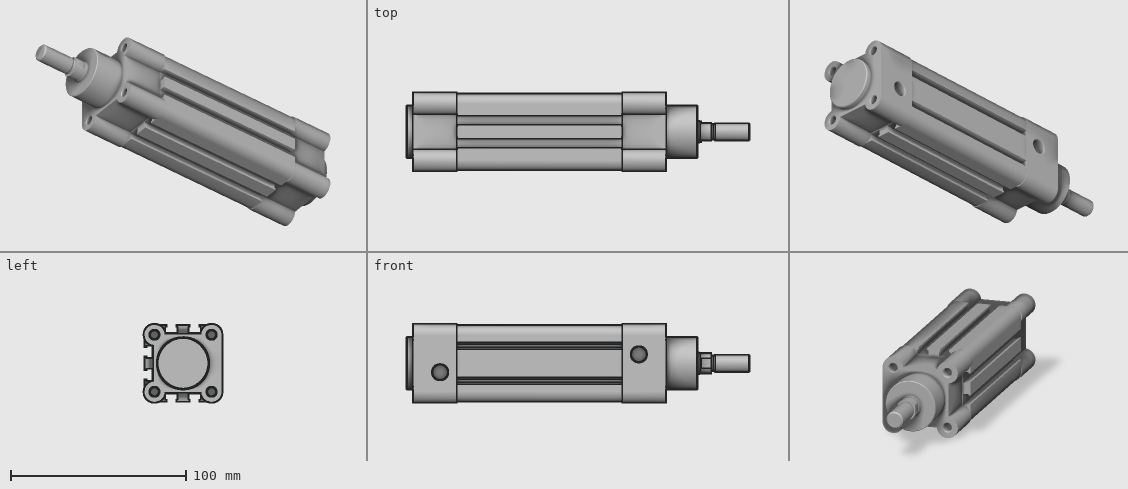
import cadquery as cq


total_length = 196.0
spigot_length = 4.0
cap_length = 25.0
barrel_length = 94.0
collar_length = 18.0
rear_cap_x = spigot_length
barrel_x = rear_cap_x + cap_length
front_cap_x = barrel_x + barrel_length
collar_x = front_cap_x + cap_length
collar_end_x = collar_x + collar_length

cap_width = 45.0
cap_half = cap_width / 2
bolt_offset = 16.3
bolt_pitch = 2 * bolt_offset
boss_radius = cap_half - bolt_offset
recess_floor = 16.9
collar_diameter = 30.0
spigot_chamfer = 0.5
collar_chamfer = 0.4
bolt_hole_diameter = 4.9
bolt_hole_mouth = 5.9
countersink_angle = 90
port_radius = 4.3
port_chamfer = 0.4
port_depth = 7.8
port_inset = 15.5
port_shift_z = 5.0

barrel_half = 22.0
slot_mouth_near = 4.0
slot_mouth_far = 9.2
slot_undercut = 0.8
slot_lip = 1.2
slot_floor = 17.5
groove_offset = 10.0
groove_mouth_width = 4.1
groove_floor_width = 1.8

rod_radius = 6.5
rod_tip_radius = 5.9
taper_length = 1.5
flat_half = 5.0
flat_start_x = 168.2
shoulder_x = 174.0
neck_radius = 4.7
neck_root_radius = 4.3
neck_root_inset = 1.0
neck_length = 2.2
thread_diameter = 10.0
thread_radius = thread_diameter / 2
thread_chamfer = 0.8


def cross_section(x):
    """Workplane across the axis at station x, with local axes along Y and Z."""
    return cq.Workplane("YZ", origin=(x, 0, 0))


def make_cap(x):
    """Cap with round corner bosses: flat on -Y, recessed between the bosses on the other sides."""
    core = cross_section(x).rect(bolt_pitch, 2 * recess_floor).extrude(cap_length)
    side_walls = cross_section(x).center((recess_floor - cap_half) / 2, 0)
    side_walls = side_walls.rect(recess_floor + cap_half, bolt_pitch).extrude(cap_length)
    bosses = (
        cross_section(x)
        .rect(bolt_pitch, bolt_pitch, forConstruction=True)
        .vertices()
        .circle(boss_radius)
        .extrude(cap_length)
    )
    return core.union(side_walls).union(bosses)


def drill_bolt_holes(cap, outer_face):
    """Four bolt holes through the cap, countersunk at its outer face."""
    return (
        cap.faces(outer_face)
        .workplane(origin=(0, 0, 0))
        .rect(bolt_pitch, bolt_pitch, forConstruction=True)
        .vertices()
        .cskHole(bolt_hole_diameter, bolt_hole_mouth, countersink_angle)
    )


def drill_port(cap, x, z):
    """Blind air port in the -Y side, with a chamfered mouth."""
    mouth_radius = port_radius + port_chamfer
    port_profile = [
        (0, 0),
        (mouth_radius, 0),
        (port_radius, port_chamfer),
        (port_radius, port_depth),
        (0, port_depth),
    ]
    port = (
        cq.Workplane("XY", origin=(x, -cap_half, z))
        .polyline(port_profile)
        .close()
        .revolve(360, (0, 0, 0), (0, 1, 0))
    )
    return cap.cut(port)


def make_rear_cap():
    cap = drill_bolt_holes(make_cap(rear_cap_x), "<X")
    cap = drill_port(cap, rear_cap_x + port_inset, -port_shift_z)
    spigot = cross_section(0).circle(collar_diameter / 2).extrude(spigot_length)
    spigot = spigot.faces("<X").chamfer(spigot_chamfer)
    return cap.union(spigot)


def make_front_cap():
    cap = drill_bolt_holes(make_cap(front_cap_x), ">X")
    cap = drill_port(cap, collar_x - port_inset, port_shift_z)
    collar = cross_section(collar_x).circle(collar_diameter / 2).extrude(collar_length)
    collar = collar.faces(">X").chamfer(collar_chamfer)
    rod_bore = cross_section(front_cap_x).circle(rod_radius).extrude(cap_length + collar_length)
    return cap.union(collar).cut(rod_bore)


def make_slot(side):
    """Undercut slot in the +Y side; side is +1 or -1 for the half of that side it lies in."""
    lip_y = barrel_half - slot_lip
    wide_near = slot_mouth_near - slot_undercut
    wide_far = slot_mouth_far + slot_undercut
    outline = [
        (barrel_half, side * slot_mouth_near),
        (lip_y, side * slot_mouth_near),
        (lip_y, side * wide_near),
        (slot_floor, side * wide_near),
        (slot_floor, side * wide_far),
        (lip_y, side * wide_far),
        (lip_y, side * slot_mouth_far),
        (barrel_half, side * slot_mouth_far),
    ]
    return cross_section(barrel_x).polyline(outline).close().extrude(barrel_length)


def make_groove(side):
    """Tapered groove in the -Y side, as deep as the slots."""
    middle = side * groove_offset
    outline = [
        (-barrel_half, middle - groove_mouth_width / 2),
        (-slot_floor, middle - groove_floor_width / 2),
        (-slot_floor, middle + groove_floor_width / 2),
        (-barrel_half, middle + groove_mouth_width / 2),
    ]
    return cross_section(barrel_x).polyline(outline).close().extrude(barrel_length)


def make_barrel():
    """Extruded profile: slot pairs on +Y, +Z and -Z, groove pair on -Y."""
    barrel = cross_section(barrel_x).rect(2 * barrel_half, 2 * barrel_half).extrude(barrel_length)
    barrel = barrel.edges("|X").fillet(barrel_half - bolt_offset)
    for side in (1, -1):
        for angle in (0, 90, -90):
            barrel = barrel.cut(make_slot(side).rotate((0, 0, 0), (1, 0, 0), angle))
        barrel = barrel.cut(make_groove(side))
    return barrel


def make_rod():
    """Turned rod with a tapered step, wrench flats, an undercut neck and a threaded end."""
    profile = [
        (front_cap_x, 0),
        (front_cap_x, rod_radius),
        (collar_end_x, rod_radius),
        (collar_end_x + taper_length, rod_tip_radius),
        (shoulder_x, rod_tip_radius),
        (shoulder_x, neck_radius),
        (shoulder_x + neck_root_inset, neck_root_radius),
        (shoulder_x + neck_length, thread_radius),
        (total_length - thread_chamfer, thread_radius),
        (total_length, thread_radius - thread_chamfer),
        (total_length, 0),
    ]
    rod = cq.Workplane("XY").polyline(profile).close().revolve(360, (0, 0, 0), (1, 0, 0))
    flat_length = shoulder_x - flat_start_x
    flat_cut_depth = rod_radius - flat_half
    for side in (1, -1):
        flat_cut = cq.Workplane("XY").box(flat_length, flat_cut_depth, 2 * rod_radius)
        flat_middle_x = flat_start_x + flat_length / 2
        flat_cut = flat_cut.translate((flat_middle_x, side * (flat_half + flat_cut_depth / 2), 0))
        rod = rod.cut(flat_cut)
    return rod


rear_cap = make_rear_cap()
barrel = make_barrel()
front_cap = make_front_cap()
rod = make_rod()

result = cq.Compound.makeCompound([rear_cap.val(), barrel.val(), front_cap.val(), rod.val()])